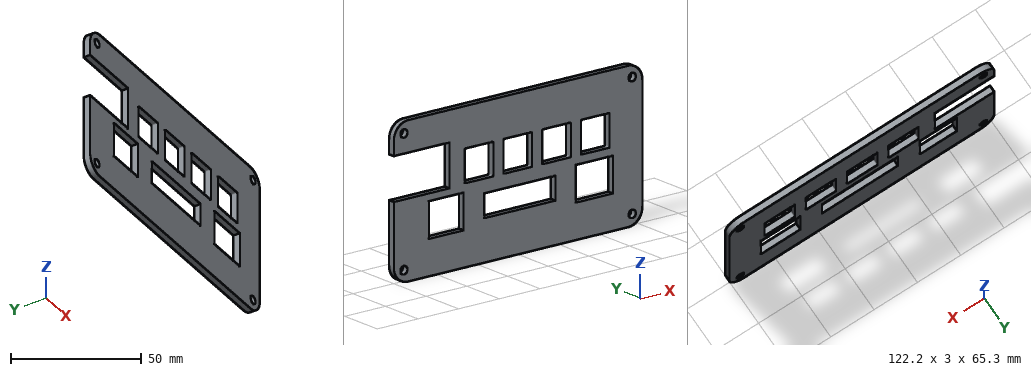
import cadquery as cq

panel_width = 122.24
panel_height = 65.27
panel_thickness = 3.0
corner_radius = 7.0

hole_diameter = 3.4
hole_inset = 5.0

key_count = 4
key_size = 14.0
key_pitch = 19.05
key_corner_radius = 0.5
key_row_center_x = 9.35
key_row_z = 8.4

notch_depth = 27.4
notch_height = 18.5
notch_bottom_z = 0.95

window_height = 15.2
window_z = -9.85
left_window_width = 17.0
left_window_x = -35.3
right_window_width = 18.2
right_window_x = 37.5
slot_width = 35.0
slot_height = 10.0
slot_x = 0.9
slot_z = -9.6


def block(width, height, x, z):
    """Rectangular block as thick as the panel, centred at (x, z)."""
    return cq.Workplane("XY").box(width, panel_thickness, height).translate((x, 0, z))


def rounded_block(width, height, radius, x, z):
    """Block whose four edges along the thickness are rounded."""
    return block(width, height, x, z).edges("|Y").fillet(radius)


def cut_mounting_holes(body):
    spacing_x = panel_width - 2 * hole_inset
    spacing_z = panel_height - 2 * hole_inset
    return (
        body.faces("<Y")
        .workplane(centerOption="CenterOfBoundBox")
        .rarray(spacing_x, spacing_z, 2, 2)
        .hole(hole_diameter)
    )


def cut_key_windows(body):
    first_key_x = key_row_center_x - key_pitch * (key_count - 1) / 2
    for index in range(key_count):
        key_x = first_key_x + index * key_pitch
        body = body.cut(rounded_block(key_size, key_size, key_corner_radius, key_x, key_row_z))
    return body


def cut_notch(body):
    notch_x = (notch_depth - panel_width) / 2
    notch_z = notch_bottom_z + notch_height / 2
    return body.cut(block(notch_depth, notch_height, notch_x, notch_z))


def cut_lower_windows(body):
    body = body.cut(block(left_window_width, window_height, left_window_x, window_z))
    body = body.cut(block(right_window_width, window_height, right_window_x, window_z))
    return body.cut(block(slot_width, slot_height, slot_x, slot_z))


panel = rounded_block(panel_width, panel_height, corner_radius, 0, 0)
panel = cut_mounting_holes(panel)
panel = cut_key_windows(panel)
panel = cut_notch(panel)
result = cut_lower_windows(panel)